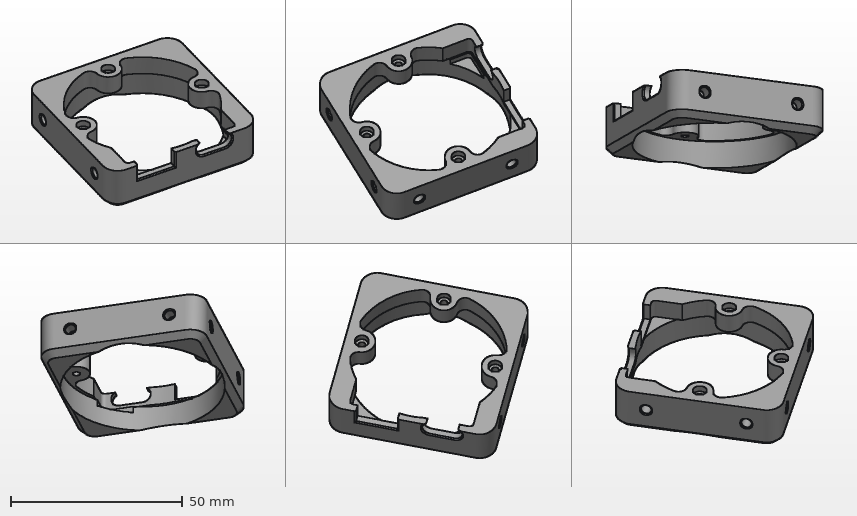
import cadquery as cq

side = 50.0
height = 14.0
half = side / 2
corner_radius = 5.0
bottom_chamfer = 2.0

bore_diameter = 48.0
bore_depth = 8.0
upper_radius = 23.0
lobe_offset = 20.0
lobe_radius = 4.0
lobe_fillet = 2.5
lobe_angles = (90, 180, 270)

screw_diameter = 2.1
screw_head_diameter = 4.1
screw_head_depth = 2.0

side_hole_diameter = 3.1
side_hole_rim = 3.8
side_hole_depth = 4.0
side_hole_offset = 15.0
side_hole_z = 8.0

pocket_half_width = 18.5
pocket_end_x = 22.7
pocket_start_x = 10.0
pocket_corner = 1.25
pocket_floor = bore_depth
recess_floor = 6.0
ledge_width = 0.45

cutout_chamfer = 0.4
port_center_y = 9.8
port_straight = 7.0
port_height = 5.0
port_floor = 9.35
notch_min_y = -16.0
notch_max_y = -3.5
notch_floor = 8.7


def frame_block():
    block = cq.Workplane("XY").box(side, side, height, centered=(True, True, False))
    block = block.edges("|Z").fillet(corner_radius)
    return block.faces("<Z").chamfer(bottom_chamfer)


def cylinder(radius, bottom, top, x=0.0):
    return cq.Workplane("XY", origin=(x, 0, bottom)).circle(radius).extrude(top - bottom)


def lobed_opening():
    opening = cylinder(upper_radius, bore_depth, height)
    lobe = cylinder(lobe_radius, bore_depth, height, lobe_offset)
    for angle in lobe_angles:
        opening = opening.cut(lobe.rotate((0, 0, 0), (0, 0, 1), angle))
    tip_region = cq.selectors.BoxSelector((-side, -side, 0), (upper_radius / 2, side, height))
    tips = opening.edges("|Z").edges(tip_region)
    return tips.fillet(lobe_fillet)


def pocket():
    """Pocket open at the top, with rounded corners at the +X wall."""
    length = pocket_end_x - pocket_start_x
    block = cq.Workplane("XY").box(length, 2 * pocket_half_width, height - pocket_floor, centered=False)
    block = block.edges("|Z and >X").fillet(pocket_corner)
    return block.translate((pocket_start_x, -pocket_half_width, pocket_floor))


def corner_recess():
    """Deeper recess in the +Y corner of the pocket, inset by a ledge."""
    length = pocket_end_x - ledge_width - pocket_start_x
    width = pocket_half_width - ledge_width
    block = cq.Workplane("XY").box(length, width, pocket_floor - recess_floor, centered=False)
    block = block.edges("|Z and >X and >Y").fillet(pocket_corner)
    return block.translate((pocket_start_x, 0, recess_floor))


def screw_holes():
    hole = cylinder(screw_diameter / 2, 0, height, lobe_offset)
    head = cylinder(screw_head_diameter / 2, height - screw_head_depth, height, lobe_offset)
    screw = hole.union(head)
    return [screw.rotate((0, 0, 0), (0, 0, 1), angle) for angle in lobe_angles]


def side_holes():
    """Pairs of blind holes with countersunk rims on the -X, -Y and +Y sides."""
    rim_depth = (side_hole_rim - side_hole_diameter) / 2
    plane = cq.Workplane("YZ", origin=(half, 0, side_hole_z))
    points = [(-side_hole_offset, 0), (side_hole_offset, 0)]
    pair = plane.pushPoints(points).circle(side_hole_diameter / 2).extrude(-side_hole_depth)
    for point in points:
        rim = plane.center(*point).circle(side_hole_rim / 2)
        rim = rim.workplane(offset=-rim_depth).circle(side_hole_diameter / 2).loft()
        pair = pair.union(rim)
    return [pair.rotate((0, 0, 0), (0, 0, 1), angle) for angle in (90, 180, 270)]


def wall_plane(x):
    return cq.Workplane("YZ", origin=(x, 0, 0))


def port_profile(plane, growth):
    center_z = port_floor + port_height / 2
    size = port_height + 2 * growth
    return plane.center(port_center_y, center_z).slot2D(port_straight + size, size)


def notch_profile(plane, growth):
    width = notch_max_y - notch_min_y + 2 * growth
    depth = 2 * (height - notch_floor + growth)
    center_y = (notch_min_y + notch_max_y) / 2
    return plane.center(center_y, height).rect(width, depth)


def wall_cutout(draw_profile):
    """Cut-out through the +X wall that widens over the chamfer at the outer face."""
    wall = half - pocket_end_x
    straight = draw_profile(wall_plane(pocket_end_x), 0).extrude(wall)
    inner = draw_profile(wall_plane(half - cutout_chamfer), 0)
    outer = draw_profile(wall_plane(half), cutout_chamfer)
    flare = cq.Solid.makeLoft([inner.wires().val(), outer.wires().val()], True)
    return straight.union(cq.Workplane(flare))


result = frame_block()
result = result.cut(cylinder(bore_diameter / 2, 0, bore_depth))
result = result.cut(lobed_opening())
result = result.cut(pocket())
result = result.cut(corner_recess())
for tool in screw_holes() + side_holes():
    result = result.cut(tool)
for draw_profile in (port_profile, notch_profile):
    result = result.cut(wall_cutout(draw_profile))